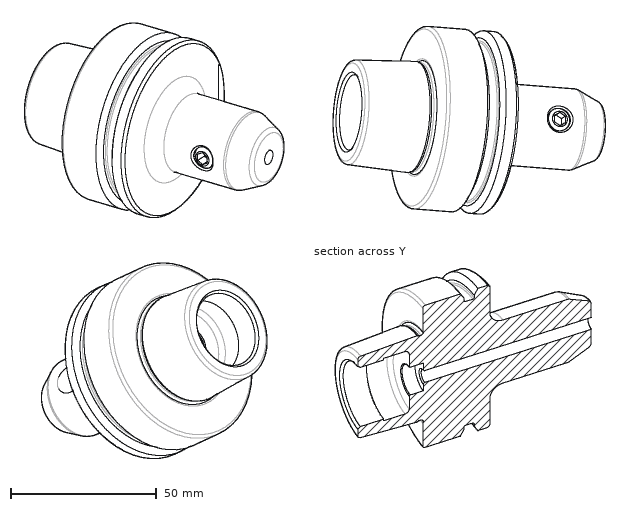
import cadquery as cq
import math

total_length = 90.0
shank_length = 25.0
flange_width = 26.0
flange_end = shank_length + flange_width

taper_slope = 0.05
taper_end = 22.9
taper_end_radius = 19.2
taper_start_radius = taper_end_radius - taper_slope * taper_end
mouth_edge_round = 1.2

neck_start = 23.6
neck_end = 24.4
neck_radius = 18.8
relief_round = 0.8
relief_depth = neck_end + relief_round - shank_length
relief_outer_radius = 20.25

flange_radius = 31.5
flange_edge_size = 1.0
groove_left = 41.0
groove_right = 44.8
groove_floor_radius = 27.45
groove_flank_height = 2.5
groove_flank_width = groove_flank_height * math.tan(math.radians(30))
groove_corner_round = 0.45

nose_radius = 14.0
nose_root_round = 4.9
nose_taper_start = 81.2
nose_taper_angle = 25.0
nose_tip_radius = nose_radius - (total_length - nose_taper_start) * math.tan(math.radians(nose_taper_angle))
nose_taper_round = 1.8

bore_radius = 13.0
bore_mouth_radius = 13.8
bore_chamfer_length = 1.0
bore_step = 10.0
recess_radius = 13.7
floor_flat_radius = 12.1
recess_depth = 19.8
floor_round = recess_radius - floor_flat_radius
counterbore_radius = 6.0
counterbore_depth = 5.4
counterbore_chamfer = 0.4
through_radius = 2.5
through_chamfer = 0.5

screw_x = 71.8
screw_radius = 4.0
screw_chamfer = 1.3
screw_top = 13.8
screw_bottom = 4.5
socket_flat = 4.0
socket_depth = 4.05
screw_hole_chamfer = 0.7

scoop_x = 69.8
scoop_length = 11.9
scoop_depth = 0.9
scoop_radius = ((scoop_length / 2) ** 2 + scoop_depth ** 2) / (2 * scoop_depth)

pick_margin = 0.01


def revolve_about_x(profile):
    """Close a profile drawn as (x, radius) and turn it about the X axis."""
    return profile.close().revolve(360, (0, 0, 0), (1, 0, 0))


def round_circle(body, x, radius, size):
    """Fillet the circular edge of the given radius that is centred on the X axis at x."""
    reach = radius + pick_margin
    inner = radius - pick_margin
    box = cq.selectors.BoxSelector(
        (x - pick_margin, -reach, -reach), (x + pick_margin, reach, reach), True
    )
    edges = body.edges(box)
    edges = edges.filter(lambda edge: edge.geomType() == "CIRCLE" and inner < edge.radius() < reach)
    return edges.fillet(size)


def make_outer_shape():
    """Turned outside of the holder: shank, relief, grooved flange and nose."""
    relief_floor = shank_length + relief_depth
    relief_mid = relief_round * math.sqrt(0.5)
    profile = (
        cq.Workplane("XZ")
        .lineTo(0, taper_start_radius)
        .lineTo(taper_end, taper_end_radius)
        .lineTo(neck_start, neck_radius)
        .lineTo(neck_end, neck_radius)
        .threePointArc(
            (neck_end + relief_mid, neck_radius + relief_round - relief_mid),
            (relief_floor, neck_radius + relief_round),
        )
        .lineTo(shank_length, relief_outer_radius)
        .lineTo(shank_length, flange_radius)
        .lineTo(groove_left - groove_flank_width, flange_radius)
        .lineTo(groove_left, flange_radius - groove_flank_height)
        .lineTo(groove_left, groove_floor_radius)
        .lineTo(groove_right, groove_floor_radius)
        .lineTo(groove_right, flange_radius - groove_flank_height)
        .lineTo(groove_right + groove_flank_width, flange_radius)
        .lineTo(flange_end - flange_edge_size, flange_radius)
        .lineTo(flange_end, flange_radius - flange_edge_size)
        .lineTo(flange_end, nose_radius)
        .lineTo(nose_taper_start, nose_radius)
        .lineTo(total_length, nose_tip_radius)
        .lineTo(total_length, 0)
    )
    body = revolve_about_x(profile)
    rounds = [
        (0, taper_start_radius, mouth_edge_round),
        (shank_length, flange_radius, flange_edge_size),
        (groove_left, groove_floor_radius, groove_corner_round),
        (groove_right, groove_floor_radius, groove_corner_round),
        (flange_end, nose_radius, nose_root_round),
        (nose_taper_start, nose_radius, nose_taper_round),
        (total_length, nose_tip_radius, nose_taper_round),
    ]
    for x, radius, size in rounds:
        body = round_circle(body, x, radius, size)
    return body


def make_bore():
    """Stepped space inside the shank, running on as a small hole through the nose."""
    counterbore_floor = recess_depth + counterbore_depth
    profile = (
        cq.Workplane("XZ")
        .lineTo(0, bore_mouth_radius)
        .lineTo(bore_chamfer_length, bore_radius)
        .lineTo(bore_step, bore_radius)
        .lineTo(bore_step, recess_radius)
        .lineTo(recess_depth, recess_radius)
        .lineTo(recess_depth, counterbore_radius + counterbore_chamfer)
        .lineTo(recess_depth + counterbore_chamfer, counterbore_radius)
        .lineTo(counterbore_floor, counterbore_radius)
        .lineTo(counterbore_floor, through_radius + through_chamfer)
        .lineTo(counterbore_floor + through_chamfer, through_radius)
        .lineTo(total_length, through_radius)
        .lineTo(total_length, 0)
    )
    return round_circle(revolve_about_x(profile), recess_depth, recess_radius, floor_round)


def nose_plane(distance):
    """Sketch plane facing -Y at the screw, at the given distance from the X axis."""
    return cq.Workplane("XZ", origin=(screw_x, -distance, 0))


def cut_screw_hole(body):
    """Radial hole that fits the screw, chamfered where it breaks out of the nose."""
    hole = nose_plane(screw_bottom).circle(screw_radius).extrude(nose_radius)
    reach = screw_radius + pick_margin
    rim_box = cq.selectors.BoxSelector(
        (screw_x - reach, -nose_radius - pick_margin, -reach),
        (screw_x + reach, -nose_radius + reach / 2, reach),
        True,
    )
    return body.cut(hole).edges(rim_box).chamfer(screw_hole_chamfer)


def make_scoop():
    """Shallow cylindrical cut with its axis along Z."""
    scoop_y = nose_radius - scoop_depth + scoop_radius
    return (
        cq.Workplane("XY")
        .center(scoop_x, scoop_y)
        .circle(scoop_radius)
        .extrude(nose_radius, both=True)
    )


def make_holder():
    """Turned holder with its bore, screw hole and balancing scoop."""
    return cut_screw_hole(make_outer_shape()).cut(make_bore()).cut(make_scoop())


def make_screw():
    """Headless screw with a chamfered outer end and a hexagon socket."""
    blank = nose_plane(screw_bottom).circle(screw_radius).extrude(screw_top - screw_bottom)
    blank = blank.faces("<Y").chamfer(screw_chamfer)
    socket_across_corners = socket_flat / math.cos(math.radians(30))
    socket = (
        nose_plane(screw_top)
        .transformed(rotate=(0, 0, 30))
        .polygon(6, socket_across_corners)
        .extrude(-socket_depth)
    )
    return blank.cut(socket)


holder = make_holder()
screw = make_screw()
result = cq.Compound.makeCompound([holder.val(), screw.val()])